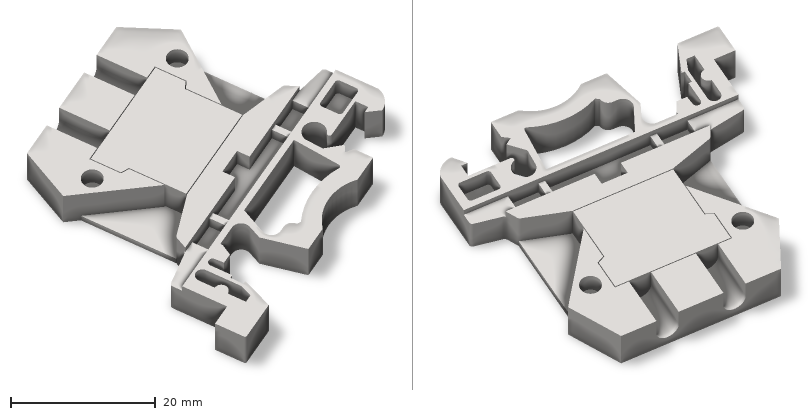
import cadquery as cq
import math

HEIGHT = 6.0
PLATE_TOP = 1.0
RAIL_TOP = 4.98
BLIND_FLOOR = 3.0
FOOT_TOP_Y = 21.0
FOOT_RIGHT_X = 42.0
FOOT_BOTTOM_Y = FOOT_TOP_Y - 46.5

HOUSING_FACE_HALF = 12.55
HOUSING_PEAK_X = 8.0
HOUSING_PEAK_HALF = 16.55
NECK_HALF = 7.85
NECK_START_X = 19.45
NECK_END_X = 22.75
PLATE_START_X = 10.1
PLATE_HALF = 15.05

SLOT_WIDTH = 3.5
SLOT_BOTTOM = 1.5
SLOT_OFFSET = 5.25

PIN_HOLE_DIAMETER = 3.15
PIN_HOLE_X = 10.0
PIN_HOLE_OFFSET = 11.95

COVER_GAP = 0.15
COVER_WIDE_HALF = 9.05
COVER_WIDE_END_X = 12.95
COVER_TAPER_END_X = 13.55

SHOULDER_X = 25.05
RAIL_X = 27.05
RAIL_HALF = 16.05
FOOT_X = 30.0
RAIL_TOP_CORNER = (28.05, FOOT_TOP_Y)
RAIL_BOTTOM_CORNER = (28.05, -22.1)
SHOULDER_ROUND = 0.7
RAIL_BLEND = 0.7
RAIL_CORNER_ROUND = 0.5
NOTCH_HALF = 2.05
POCKET_END = 14.1
RIB_OUTER = 9.3
RIB_INNER = 8.3

FOOT_INNER_X = 30.95
LATCH_X = 35.05
HOOK_X = 37.1
TOE_ROUND = 0.3
SADDLE_Y = 1.0
SADDLE_HALF = 4.9
SADDLE_BACK_HALF = 5.35
SADDLE_LEDGE_Y = 10.28
ARM_TOP_Y = -17.0
ARM_NOTCH_Y = -17.55


def prism(outline, height):
    return outline.close().extrude(height)


def mirrored_polygon(upper_points, height):
    """Prism symmetric about Y = 0, given its upper points from left to right."""
    lower_points = [(x, -y) for x, y in reversed(upper_points)]
    return prism(cq.Workplane("XY").polyline(upper_points + lower_points), height)


def block(x_range, y_range, z_range):
    corners = tuple(zip(x_range, y_range, z_range))
    size = [end - start for start, end in zip(*corners)]
    return cq.Workplane("XY").box(*size, centered=False).translate(corners[0])


def polar(center, radius, degrees):
    angle = math.radians(degrees)
    return (center[0] + radius * math.cos(angle), center[1] + radius * math.sin(angle))


def make_shoulders(height):
    shoulders = mirrored_polygon(
        [(NECK_END_X, NECK_HALF), (SHOULDER_X, PLATE_HALF), (RAIL_X, RAIL_HALF)], height
    )
    for y in (-PLATE_HALF, PLATE_HALF):
        corner = cq.selectors.NearestToPointSelector((SHOULDER_X, y, height / 2))
        shoulders = shoulders.edges("|Z").edges(corner).fillet(SHOULDER_ROUND)
    return shoulders


def make_housing():
    front = mirrored_polygon(
        [
            (0, HOUSING_FACE_HALF),
            (HOUSING_PEAK_X, HOUSING_PEAK_HALF),
            (NECK_START_X, NECK_HALF),
            (NECK_END_X, NECK_HALF),
        ],
        HEIGHT,
    )
    plate = block((PLATE_START_X, SHOULDER_X), (-PLATE_HALF, PLATE_HALF), (0, PLATE_TOP))
    return front.union(plate)


def make_cover_gap():
    """Narrow gap around the cover panel, reaching down to the plate."""
    depth = HEIGHT - PLATE_TOP
    panel = mirrored_polygon(
        [
            (HOUSING_PEAK_X + COVER_GAP, COVER_WIDE_HALF),
            (COVER_WIDE_END_X, COVER_WIDE_HALF),
            (COVER_TAPER_END_X, NECK_HALF),
            (NECK_END_X - COVER_GAP, NECK_HALF),
        ],
        depth,
    )
    rim = panel.faces("<Z").wires().toPending()
    opening = rim.offset2D(COVER_GAP, "intersection").extrude(depth, combine=False)
    return opening.cut(panel).translate((0, 0, PLATE_TOP))


def make_wire_slots():
    radius = SLOT_WIDTH / 2
    axis_z = SLOT_BOTTOM + radius
    slots = cq.Workplane("XY")
    for y in (-SLOT_OFFSET, SLOT_OFFSET):
        bottom = cq.Workplane("YZ").center(y, axis_z).circle(radius).extrude(HOUSING_PEAK_X)
        sides = block((0, HOUSING_PEAK_X), (y - radius, y + radius), (axis_z, HEIGHT))
        slots = slots.add(bottom.union(sides))
    return slots.combine()


def make_pin_holes():
    return (
        cq.Workplane("XY", origin=(0, 0, BLIND_FLOOR))
        .pushPoints([(PIN_HOLE_X, -PIN_HOLE_OFFSET), (PIN_HOLE_X, PIN_HOLE_OFFSET)])
        .circle(PIN_HOLE_DIAMETER / 2)
        .extrude(HEIGHT - BLIND_FLOOR)
    )


def make_rail():
    strip = prism(
        cq.Workplane("XY").polyline(
            [
                (FOOT_X, FOOT_TOP_Y),
                RAIL_TOP_CORNER,
                (RAIL_X, RAIL_HALF),
                (RAIL_X, -RAIL_HALF),
                RAIL_BOTTOM_CORNER,
                (FOOT_X, RAIL_BOTTOM_CORNER[1]),
            ]
        ),
        RAIL_TOP,
    )
    for corner in (RAIL_TOP_CORNER, RAIL_BOTTOM_CORNER):
        edge = cq.selectors.NearestToPointSelector((*corner, RAIL_TOP / 2))
        strip = strip.edges("|Z").edges(edge).fillet(RAIL_CORNER_ROUND)
    rail = strip.union(make_shoulders(RAIL_TOP))
    for y in (-RAIL_HALF, RAIL_HALF):
        edge = cq.selectors.NearestToPointSelector((RAIL_X, y, RAIL_TOP / 2))
        rail = rail.edges("|Z").edges(edge).fillet(RAIL_BLEND)
    return rail


def make_rail_pockets():
    levels = (BLIND_FLOOR, HEIGHT)
    pockets = block((SHOULDER_X, RAIL_X), (-NOTCH_HALF, NOTCH_HALF), levels)
    for y_range in ((-POCKET_END, -RIB_OUTER), (-RIB_INNER, RIB_INNER), (RIB_OUTER, POCKET_END)):
        pockets = pockets.union(block((RAIL_X, FOOT_X), y_range, levels))
    return pockets


def make_foot():
    bay_center = (32.75, 10.15)
    bay_radius = 1.75
    outline = (
        cq.Workplane("XY")
        .moveTo(FOOT_X, FOOT_TOP_Y)
        .lineTo(36.75, FOOT_TOP_Y)
        .threePointArc((38.4, 19.9), (39.05, 18.05))
        .lineTo(HOOK_X, 16.55)
        .lineTo(HOOK_X, 17.6)
        .lineTo(LATCH_X, 17.6)
        .lineTo(LATCH_X, 11.05)
        .threePointArc((34.8, 10.6), polar(bay_center, bay_radius, 18))
        .threePointArc(polar(bay_center, bay_radius, 150), polar(bay_center, bay_radius, 255))
        .lineTo(35.15, 8.25)
        .lineTo(37.5, SADDLE_LEDGE_Y)
        .lineTo(38.18, 9.2)
        .lineTo(38.95, SADDLE_LEDGE_Y)
        .lineTo(FOOT_RIGHT_X, SADDLE_LEDGE_Y)
        .lineTo(FOOT_RIGHT_X, SADDLE_Y + SADDLE_HALF)
        .threePointArc((40.18, SADDLE_Y), (FOOT_RIGHT_X, SADDLE_Y - SADDLE_HALF))
        .lineTo(FOOT_RIGHT_X, -7.9)
        .lineTo(35.1, -9.5)
        .lineTo(33.1, -8.55)
        .threePointArc((31.6, -8.65), (FOOT_INNER_X, -9.85))
        .lineTo(FOOT_INNER_X, -13.1)
        .lineTo(31.35, -13.1)
        .lineTo(33.0, -14.05)
        .lineTo(33.0, -15.65)
        .lineTo(31.6, -15.75)
        .threePointArc((FOOT_INNER_X, -16.35), (31.57, ARM_TOP_Y))
        .lineTo(LATCH_X, ARM_TOP_Y)
        .lineTo(LATCH_X, ARM_NOTCH_Y)
        .lineTo(HOOK_X, ARM_NOTCH_Y)
        .lineTo(HOOK_X, ARM_TOP_Y)
        .lineTo(FOOT_RIGHT_X, -19.0)
        .lineTo(FOOT_RIGHT_X, FOOT_BOTTOM_Y)
        .lineTo(HOOK_X, FOOT_BOTTOM_Y)
        .lineTo(HOOK_X, RAIL_BOTTOM_CORNER[1])
        .lineTo(FOOT_X, RAIL_BOTTOM_CORNER[1])
    )
    foot = prism(outline, HEIGHT)
    toe = cq.selectors.NearestToPointSelector((FOOT_RIGHT_X, FOOT_BOTTOM_Y, HEIGHT / 2))
    return foot.edges("|Z").edges(toe).fillet(TOE_ROUND)


def make_window():
    """Through opening behind the saddle."""
    heel_center = (35.6, -7.0)
    heel_radius = 1.5
    outline = (
        cq.Workplane("XY")
        .moveTo(FOOT_INNER_X, 7.6)
        .lineTo(38.45, 6.9)
        .threePointArc((38.8, 6.7), (38.8, SADDLE_Y + SADDLE_BACK_HALF))
        .threePointArc((37.55, SADDLE_Y), (38.8, SADDLE_Y - SADDLE_BACK_HALF))
        .lineTo(38.45, -4.9)
        .threePointArc((37.5, -5.3), (heel_center[0] + heel_radius, -6.3))
        .lineTo(heel_center[0] + heel_radius, heel_center[1])
        .threePointArc(polar(heel_center, heel_radius, -60), polar(heel_center, heel_radius, -115))
        .lineTo(FOOT_INNER_X, -6.4)
    )
    return prism(outline, HEIGHT)


def make_arm_slot():
    """Through slot that frees the spring arm, with a round stop on its lower side."""
    bottom_y = -20.1
    end_radius = 1.0
    end_x = 31.5
    stop_radius = 1.0
    top_y = bottom_y + 2 * end_radius
    far_x = 38.95
    outline = (
        cq.Workplane("XY")
        .moveTo(end_x, top_y)
        .lineTo(HOOK_X, top_y)
        .lineTo(far_x, -18.8)
        .lineTo(far_x, bottom_y)
        .lineTo(LATCH_X + stop_radius, bottom_y)
        .threePointArc((LATCH_X, bottom_y + stop_radius), (LATCH_X - stop_radius, bottom_y))
        .lineTo(end_x, bottom_y)
        .threePointArc((end_x - end_radius, bottom_y + end_radius), (end_x, top_y))
    )
    return prism(outline, HEIGHT)


def make_foot_pocket():
    """Blind pocket with rounded corners in the upper hook."""
    width = 3.6
    length = 5.1
    start_y = 14.5
    corner_round = 0.5
    pocket = block(
        (FOOT_INNER_X, FOOT_INNER_X + width), (start_y, start_y + length), (BLIND_FLOOR, HEIGHT)
    )
    return pocket.edges("|Z").fillet(corner_round)


result = (
    make_housing()
    .union(make_shoulders(HEIGHT))
    .cut(make_cover_gap())
    .cut(make_wire_slots())
    .cut(make_pin_holes())
    .union(make_rail())
    .cut(make_rail_pockets())
    .union(make_foot())
    .cut(make_window())
    .cut(make_arm_slot())
    .cut(make_foot_pocket())
)